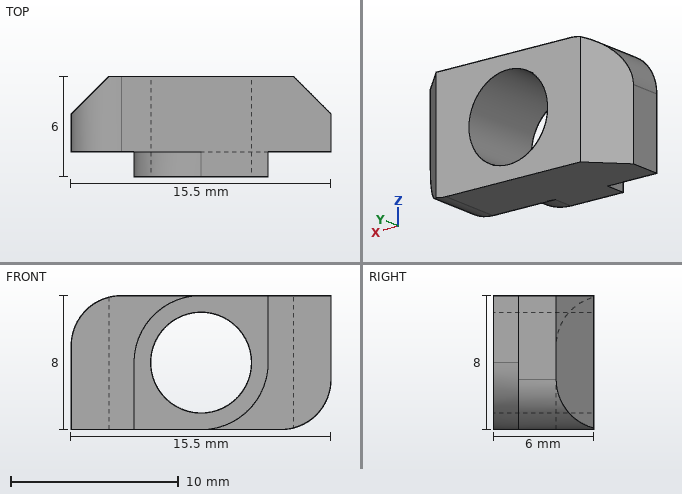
import cadquery as cq
import math

body_length = 15.5
height = 8.0
body_depth = 4.5
body_corner_radius = 3.0
back_chamfer = 2.25
boss_depth = 1.5
boss_width = height
boss_corner_radius = boss_width / 2
hole_diameter = 6.0
total_depth = boss_depth + body_depth


def rounded_block(length, depth, radius, front_y):
    """Block with its upper-left and lower-right corners rounded, extending from front_y toward +Y."""
    right = length / 2
    top = height / 2
    diagonal = radius * math.cos(math.radians(45))
    arc_x = right - radius + diagonal
    arc_z = top - radius + diagonal
    outline = (
        cq.Workplane("XZ", origin=(0, front_y, 0))
        .moveTo(-right, -top)
        .lineTo(-right, top - radius)
        .threePointArc((-arc_x, arc_z), (-right + radius, top))
        .lineTo(right, top)
        .lineTo(right, -top + radius)
        .threePointArc((arc_x, -arc_z), (right - radius, -top))
        .close()
    )
    return outline.extrude(-depth)


def chamfer_cutter(side):
    """Wedge that bevels the back edge at one end: side is -1 for -X, +1 for +X."""
    end = side * body_length / 2
    return (
        cq.Workplane("XY", origin=(0, 0, -height / 2))
        .moveTo(end, total_depth)
        .lineTo(end - side * back_chamfer, total_depth)
        .lineTo(end, total_depth - back_chamfer)
        .close()
        .extrude(height)
    )


body = rounded_block(body_length, body_depth, body_corner_radius, boss_depth)
for end_side in (-1, 1):
    body = body.cut(chamfer_cutter(end_side))
boss = rounded_block(boss_width, boss_depth, boss_corner_radius, 0)

hole = cq.Workplane("XZ").circle(hole_diameter / 2).extrude(-total_depth)

result = body.union(boss).cut(hole)